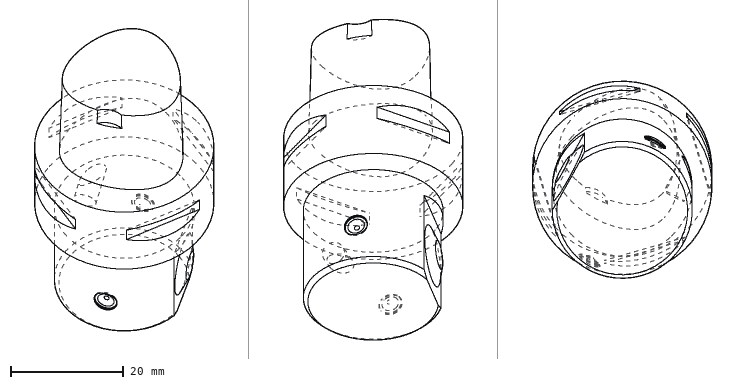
import cadquery as cq
import math

total_height = 55.0
flange_diameter = 32.0
flange_top = 36.0
flange_rim_bottom = 21.0
flange_underside = 20.0
pilot_diameter = 24.95
pilot_chamfer = 0.8

shank_base_radius = 11.0
lobe_offset = 0.7
shank_taper = 0.026
outline_points = 36

notch_radius = 4.0
notch_floor_offset = 9.0
notch_height = 3.45

groove_count = 4
groove_center_height = 30.05
groove_floor_height = 2.5
groove_floor_offset = 14.15
groove_flank_angle = 30.0

flat_offset = 10.95
flat_top = 18.05
flat_top_angle = 30.0

boss_height = 8.1
boss_base_radius = 5.6
boss_shoulder_radius = 4.75
boss_shoulder_projection = 0.4
boss_tip_diameter = 5.2
boss_projection = 1.2

screw_hole_diameter = 4.25
screw_seat_diameter = 4.0
screw_face_offset = 12.1
screw_face_chamfer = (screw_hole_diameter - screw_seat_diameter) / 2
socket_mouth_diameter = 3.0
socket_floor_diameter = 0.95
socket_depth = 0.55

slant_diameter = 4.0
slant_x = -8.35
slant_height = 16.5
slant_angle = 15.0
slant_depth = 5.5

flange_radius = flange_diameter / 2
pilot_radius = pilot_diameter / 2


def turned_body():
    """Pilot, flange underside cone and flange as one revolved profile."""
    return (
        cq.Workplane("XZ")
        .moveTo(0, 0)
        .lineTo(pilot_radius - pilot_chamfer, 0)
        .lineTo(pilot_radius, pilot_chamfer)
        .lineTo(pilot_radius, flange_underside)
        .lineTo(flange_radius, flange_rim_bottom)
        .lineTo(flange_radius, flange_top)
        .lineTo(0, flange_top)
        .close()
        .revolve(360, (0, 0, 0), (0, 1, 0))
    )


def lobed_outline(mean_radius):
    """Closed three-lobed trochoid with one lobe pointing to +Y."""
    points = []
    for i in range(outline_points):
        angle = 2 * math.pi * i / outline_points
        x = mean_radius * math.sin(angle) + lobe_offset * math.sin(2 * angle)
        y = lobe_offset * math.cos(2 * angle) - mean_radius * math.cos(angle)
        points.append((x, y))
    return points


def shank():
    """Tapered lobed shank with its locating notch on the -Y side."""
    length = total_height - flange_top
    top_radius = shank_base_radius - shank_taper * length
    body = (
        cq.Workplane("XY", origin=(0, 0, flange_top))
        .spline(lobed_outline(shank_base_radius), periodic=True)
        .close()
        .workplane(offset=length)
        .spline(lobed_outline(top_radius), periodic=True)
        .close()
        .loft(ruled=True)
    )
    notch = (
        cq.Workplane("XY", origin=(0, 0, total_height - notch_height))
        .center(0, -notch_floor_offset - notch_radius)
        .circle(notch_radius)
        .extrude(notch_height)
    )
    return body.cut(notch)


def gripper_groove():
    """Straight trapezoidal cutter on the +X side of the flange."""
    depth = flange_radius - groove_floor_offset
    half_floor = groove_floor_height / 2
    half_mouth = half_floor + depth * math.tan(math.radians(groove_flank_angle))
    return (
        cq.Workplane("XZ", origin=(0, 0, groove_center_height))
        .polyline([
            (groove_floor_offset, -half_floor),
            (flange_radius, -half_mouth),
            (flange_radius, half_mouth),
            (groove_floor_offset, half_floor),
        ])
        .close()
        .extrude(flange_radius, both=True)
    )


def side_flat():
    """Cutter for the flat, with a sloping shoulder at its top."""
    depth = pilot_radius - flat_offset
    shoulder_drop = depth * math.tan(math.radians(flat_top_angle))
    return (
        cq.Workplane("XZ")
        .polyline([
            (flat_offset, 0),
            (pilot_radius, 0),
            (pilot_radius, flat_top),
            (flat_offset, flat_top - shoulder_drop),
        ])
        .close()
        .extrude(pilot_radius, both=True)
    )


def flat_boss():
    """Two stacked truncated cones standing on the flat."""
    tip_x = flat_offset + boss_projection
    return (
        cq.Workplane("XY", origin=(0, 0, boss_height))
        .polyline([
            (flat_offset, 0),
            (flat_offset, boss_base_radius),
            (flat_offset + boss_shoulder_projection, boss_shoulder_radius),
            (tip_x, boss_tip_diameter / 2),
            (tip_x, 0),
        ])
        .close()
        .revolve(360, (0, 0, 0), (1, 0, 0))
    )


def screw_recess():
    """Cutter for one recessed screw face with its conical socket, on -Y."""
    hole_radius = screw_hole_diameter / 2
    seat_radius = screw_seat_diameter / 2
    socket_floor = screw_face_offset - socket_depth
    return (
        cq.Workplane("XY", origin=(0, 0, boss_height))
        .polyline([
            (0, -pilot_radius),
            (hole_radius, -pilot_radius),
            (hole_radius, -screw_face_offset - screw_face_chamfer),
            (seat_radius, -screw_face_offset),
            (socket_mouth_diameter / 2, -screw_face_offset),
            (socket_floor_diameter / 2, -socket_floor),
            (0, -socket_floor),
        ])
        .close()
        .revolve(360, (0, 0, 0), (0, 1, 0))
    )


def slanted_hole():
    """Blind hole entering the +Y side and sloping down towards -Y."""
    surface_y = math.sqrt(pilot_radius ** 2 - slant_x ** 2)
    tilt = math.radians(slant_angle)
    inward = cq.Vector(0, -math.cos(tilt), -math.sin(tilt))
    entry = cq.Vector(slant_x, surface_y, slant_height)
    start = entry - inward * slant_depth
    return cq.Solid.makeCylinder(slant_diameter / 2, 2 * slant_depth, start, inward)


result = turned_body().union(shank())

groove_step = 360 / groove_count
for groove in range(groove_count):
    groove_angle = (groove + 0.5) * groove_step
    result = result.cut(gripper_groove().rotate((0, 0, 0), (0, 0, 1), groove_angle))

result = result.cut(side_flat()).union(flat_boss())

for side_angle in (0, 180):
    result = result.cut(screw_recess().rotate((0, 0, 0), (0, 0, 1), side_angle))

result = result.cut(slanted_hole())